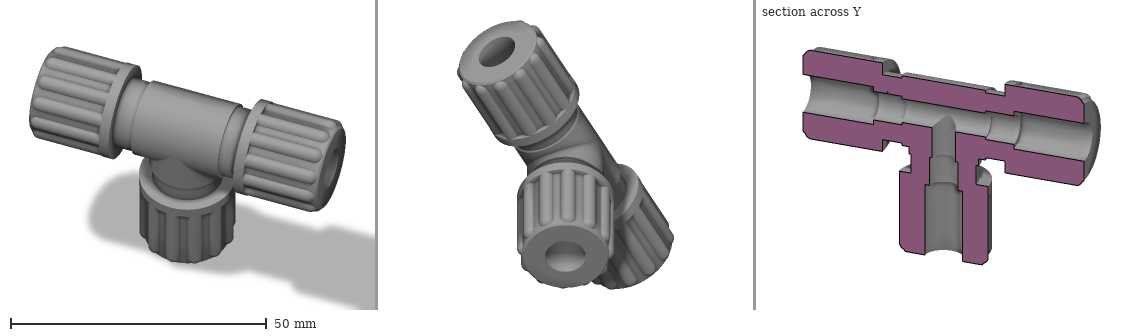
import cadquery as cq

ARM_LENGTH = 30.0

BODY_DIAMETER = 15.0
NECK_DIAMETER = 14.0
NECK_END = 21.0

FLANGE_DIAMETER = 19.0
FLANGE_THICKNESS = 2.05
GRIP_LENGTH = 15.0
GRIP_DIAMETER = 17.0
GRIP_CHAMFER = 0.35
NUT_LENGTH = GRIP_LENGTH + FLANGE_THICKNESS

RIB_COUNT = 12
RIB_RADIUS = 1.5
RIB_CIRCLE_RADIUS = FLANGE_DIAMETER / 2 - RIB_RADIUS
RIB_START = GRIP_CHAMFER + RIB_RADIUS

TUBE_DIAMETER = 8.0
TUBE_DEPTH = GRIP_LENGTH
SEAT_DIAMETER = 6.0
SEAT_DEPTH = NECK_END
PASSAGE_DIAMETER = 5.0


def cylinder(diameter, start, end):
    """Cylinder on the Z axis between two distances from the open end at Z = 0."""
    return cq.Workplane("XY").workplane(offset=start).circle(diameter / 2).extrude(end - start)


def grip_rib():
    """One rib parallel to Z, with a spherical tip towards the open end."""
    shaft = cylinder(2 * RIB_RADIUS, RIB_START, GRIP_LENGTH)
    tip = cq.Workplane("XY").sphere(RIB_RADIUS).translate((0, 0, RIB_START))
    return shaft.union(tip).translate((RIB_CIRCLE_RADIUS, 0, 0))


def nut():
    solid = cylinder(GRIP_DIAMETER, 0, GRIP_LENGTH).faces("<Z").chamfer(GRIP_CHAMFER)
    solid = solid.union(cylinder(FLANGE_DIAMETER, GRIP_LENGTH, NUT_LENGTH))
    rib = grip_rib()
    for index in range(RIB_COUNT):
        angle = index * 360 / RIB_COUNT
        solid = solid.union(rib.rotate((0, 0, 0), (0, 0, 1), angle))
    return solid


def arm():
    """Solid arm from its open end at Z = 0 to the tee centre."""
    neck = cylinder(NECK_DIAMETER, NUT_LENGTH, NECK_END)
    body = cylinder(BODY_DIAMETER, NECK_END, ARM_LENGTH)
    return nut().union(neck).union(body)


def bore():
    """Stepped bore of one arm, from its open end at Z = 0 to the tee centre."""
    tube = cylinder(TUBE_DIAMETER, 0, TUBE_DEPTH)
    seat = cylinder(SEAT_DIAMETER, TUBE_DEPTH, SEAT_DEPTH)
    passage = cylinder(PASSAGE_DIAMETER, SEAT_DEPTH, ARM_LENGTH)
    return tube.union(seat).union(passage)


def tee(branch):
    """Place a branch, built from its open end at Z = 0, along -Z, -X and +X."""
    down = branch.translate((0, 0, -ARM_LENGTH))
    left = down.rotate((0, 0, 0), (0, 1, 0), 90)
    right = down.rotate((0, 0, 0), (0, 1, 0), -90)
    return left.union(right).union(down)


result = tee(arm()).cut(tee(bore()))